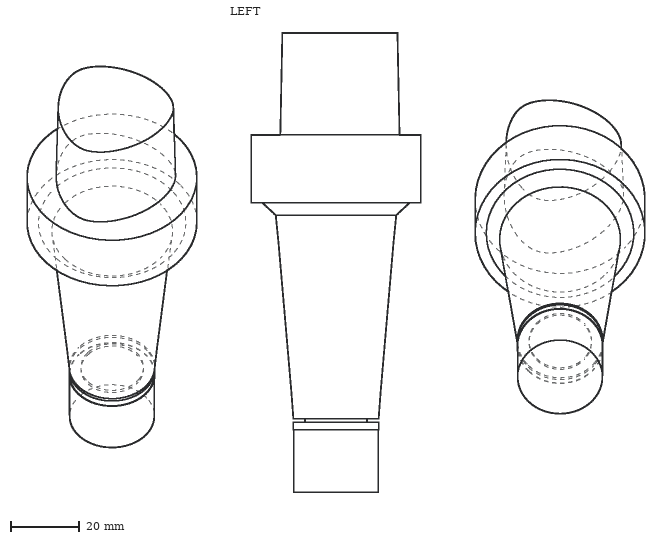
import cadquery as cq
import math

total_height = 135.0
stub_length = 30.0
flange_thickness = 20.0
flange_cone_height = 3.6
shank_height = 18.4
ring_thickness = 2.3
groove_width = 1.0

flange_top = total_height - stub_length
flange_bottom = flange_top - flange_thickness
taper_top = flange_bottom - flange_cone_height
ring_top = shank_height + ring_thickness
taper_bottom = ring_top + groove_width

flange_diameter = 50.0
flange_cone_diameter = 43.3
taper_top_diameter = 35.5
taper_bottom_diameter = 25.1
groove_diameter = 18.4
ring_diameter = 25.2
shank_diameter = 25.0

stub_base_width = 35.1
stub_top_width = 33.9
lobe_offset = 1.15
stub_points = 48


def round_body():
    """Shank, ring, groove, taper and flange as one revolved half profile."""
    half_profile = [
        (0, 0),
        (shank_diameter / 2, 0),
        (shank_diameter / 2, shank_height),
        (ring_diameter / 2, shank_height),
        (ring_diameter / 2, ring_top),
        (groove_diameter / 2, ring_top),
        (groove_diameter / 2, taper_bottom),
        (taper_bottom_diameter / 2, taper_bottom),
        (taper_top_diameter / 2, taper_top),
        (flange_cone_diameter / 2, flange_bottom),
        (flange_diameter / 2, flange_bottom),
        (flange_diameter / 2, flange_top),
        (0, flange_top),
    ]
    return cq.Workplane("XZ").polyline(half_profile).close().revolve(360, (0, 0), (0, 1))


def lobed_point(width, angle):
    """Point of the constant-width curve whose outward normal is at this angle; one lobe faces -Y."""
    lobe_angle = 3 * (angle + math.pi / 2)
    reach = width / 2 + lobe_offset * math.cos(lobe_angle)
    slide = -3 * lobe_offset * math.sin(lobe_angle)
    x = reach * math.cos(angle) - slide * math.sin(angle)
    y = reach * math.sin(angle) + slide * math.cos(angle)
    return (x, y)


def lobed_curve(width):
    return [lobed_point(width, 2 * math.pi * i / stub_points) for i in range(stub_points)]


def lobed_stub():
    return (
        cq.Workplane("XY")
        .workplane(offset=flange_top)
        .spline(lobed_curve(stub_base_width), periodic=True)
        .close()
        .workplane(offset=stub_length)
        .spline(lobed_curve(stub_top_width), periodic=True)
        .close()
        .loft(ruled=True, combine=True)
    )


result = round_body().union(lobed_stub())